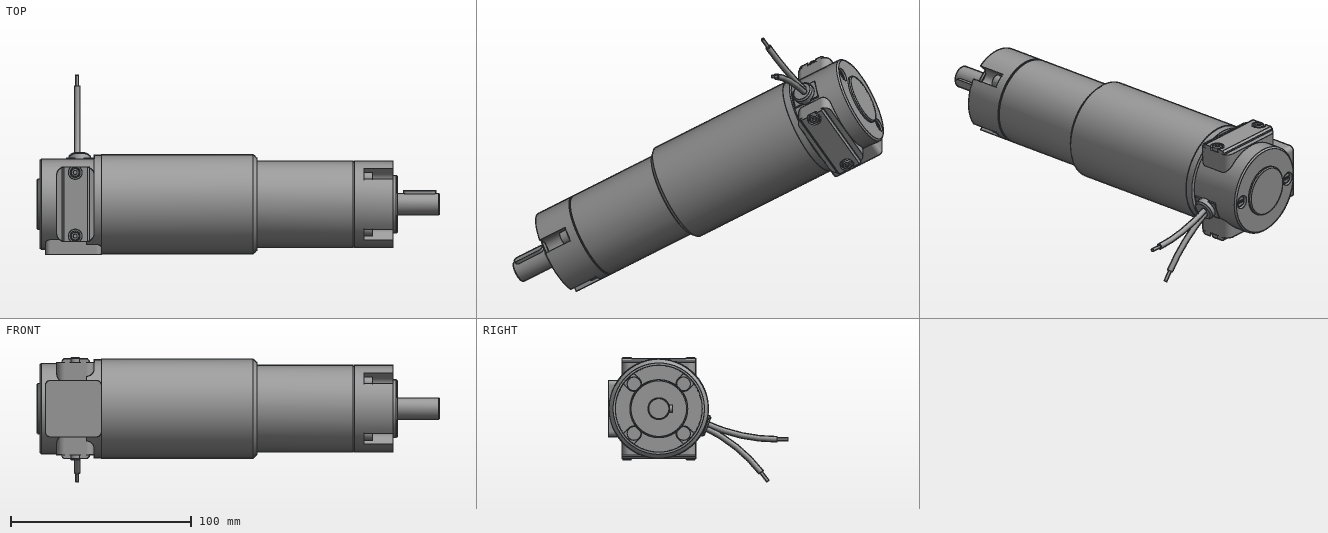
import cadquery as cq


CAP_FACE_X = 1.5
HOUSING_X = 31.5
LIP_END_X = 35.5
HOUSING_END_X = 121.7
GROOVE_X = 175.0
GEARBOX_END_X = 197.0
PILOT_END_X = 199.1
SHAFT_END_X = 222.5

REAR_DISC_DIA = 28.0
END_CAP_DIA = 50.0
LIP_DIA = 54.3
HOUSING_DIA = 55.0
GEARBOX_DIA = 48.0
PILOT_DIA = 32.0
SHAFT_DIA = 12.0

REAR_DISC_CHAMFER = 0.7
END_CAP_CHAMFER = 1.0
HOUSING_CHAMFER = 2.2
PILOT_CHAMFER = 0.7
SHAFT_CHAMFER = 0.5
GROOVE_WIDTH = 0.7
GROOVE_DEPTH = 0.5

REAR_SCREW_Y = 19.4
REAR_RECESS_DEPTH = 2.2
REAR_HEAD_HEIGHT = 1.3
DRIVER_SLOT_WIDTH = 1.1
DRIVER_SLOT_DEPTH = 0.7
RECESS_DIA = 7.5
SCREW_HEAD_DIA = 5.5

BLOCK_X = 11.0
BLOCK_LENGTH = HOUSING_X - BLOCK_X
BLOCK_WIDTH = 41.0
BLOCK_HEIGHT = 51.2
BLOCK_FILLET = 4.2
PLATE_X = 13.8
PLATE_LENGTH = 15.1
PLATE_TOP_Z = 27.5
PLATE_CHAMFER = 1.1
PLATE_SCREW_X = 21.1
PLATE_SCREW_Y = 17.5
PLATE_SCREW_TOP_Z = 28.3
PLATE_SCREW_TOP_DIA = 4.2
SOCKET_DIA = 2.2
SOCKET_DEPTH = 1.3

BOX_X = 4.7
BOX_LENGTH = LIP_END_X - BOX_X
BOX_HEIGHT = 31.2
BOX_FACE_Y = -27.8
BOX_FILLET = 2.7
SADDLE_X = 27.4

GROMMET_X = 23.5
GROMMET_DIA = 12.0
GROMMET_CHAMFER = 1.0
GROMMET_TOP_RADIUS = 28.7
GROMMET_PAD_LENGTH = 14.7
GROMMET_PAD_WIDTH = 11.0
GROMMET_PAD_RADIUS = 25.4
GROMMET_TILT = 20.0
WIRE_X = 22.2
WIRE_DIA = 3.1
CORE_DIA = 1.7
WIRES = [
    ((25.8, -8.0), (65.5, -17.0), (71.5, -17.0)),
    ((25.8, -10.7), (56.5, -35.2), (60.3, -40.0)),
]

POCKET_COUNT = 4
POCKET_X = 180.7
POCKET_RADIUS = 19.4
POCKET_WIDTH = 8.2
MOUNT_HEAD_DIA = 7.5
MOUNT_HEAD_END_X = 185.3

KEY_X = 202.5
KEY_LENGTH = 18.0
KEY_WIDTH = 4.0
KEY_TOP_Y = 7.5


def cylinder_x(diameter, start_x, end_x, y=0.0, z=0.0):
    """Cylinder parallel to the shaft axis."""
    plane = cq.Workplane("YZ", origin=(start_x, y, z))
    return plane.circle(diameter / 2).extrude(end_x - start_x)


def make_turned_body():
    """Stack of round sections from the rear disc to the output shaft."""
    rear_disc = cylinder_x(REAR_DISC_DIA, 0, CAP_FACE_X).faces("<X").chamfer(REAR_DISC_CHAMFER)
    end_cap = cylinder_x(END_CAP_DIA, CAP_FACE_X, HOUSING_X).faces("<X").chamfer(END_CAP_CHAMFER)
    lip = cylinder_x(LIP_DIA, HOUSING_X, LIP_END_X)
    housing = cylinder_x(HOUSING_DIA, LIP_END_X, HOUSING_END_X).faces(">X").chamfer(HOUSING_CHAMFER)
    groove = cylinder_x(GEARBOX_DIA, GROOVE_X - GROOVE_WIDTH / 2, GROOVE_X + GROOVE_WIDTH / 2)
    groove = groove.cut(cylinder_x(GEARBOX_DIA - 2 * GROOVE_DEPTH, HOUSING_END_X, GEARBOX_END_X))
    gearbox = cylinder_x(GEARBOX_DIA, HOUSING_END_X, GEARBOX_END_X).cut(groove)
    pilot = cylinder_x(PILOT_DIA, GEARBOX_END_X, PILOT_END_X).faces(">X").chamfer(PILOT_CHAMFER)
    shaft = cylinder_x(SHAFT_DIA, PILOT_END_X, SHAFT_END_X).faces(">X").chamfer(SHAFT_CHAMFER)
    motor = rear_disc.union(end_cap).union(lip).union(housing)
    return motor.union(gearbox).union(pilot).union(shaft)


def make_key():
    """Round-ended key standing on the +Y side of the shaft."""
    plane = cq.Workplane("XZ", origin=(KEY_X + KEY_LENGTH / 2, 0, 0))
    return plane.slot2D(KEY_LENGTH, KEY_WIDTH).extrude(-KEY_TOP_Y)


def add_mounting_pockets(body):
    """Cut open pockets into the flange rim and leave a screw head at the bottom of each."""
    pocket_length = GEARBOX_END_X - POCKET_X
    bore = cylinder_x(POCKET_WIDTH, POCKET_X, GEARBOX_END_X, z=POCKET_RADIUS)
    opening = cq.Workplane("XY", origin=(POCKET_X, 0, POCKET_RADIUS)).box(
        pocket_length, POCKET_WIDTH, GEARBOX_DIA / 2, centered=(False, True, False)
    )
    pocket = bore.union(opening)
    head = cylinder_x(MOUNT_HEAD_DIA, POCKET_X, MOUNT_HEAD_END_X, z=POCKET_RADIUS)
    step = 360 / POCKET_COUNT
    for index in range(POCKET_COUNT):
        angle = (index + 0.5) * step
        body = body.cut(pocket.rotate((0, 0, 0), (1, 0, 0), angle))
        body = body.union(head.rotate((0, 0, 0), (1, 0, 0), angle))
    return body


def add_rear_screws(body):
    """Slotted screws sunk into the end cap on both sides of the rear disc."""
    recess_floor_x = CAP_FACE_X + REAR_RECESS_DEPTH
    head_x = recess_floor_x - REAR_HEAD_HEIGHT
    for y in (-REAR_SCREW_Y, REAR_SCREW_Y):
        recess = cylinder_x(RECESS_DIA, CAP_FACE_X, recess_floor_x, y)
        head = cylinder_x(SCREW_HEAD_DIA, head_x, recess_floor_x, y)
        slot = cq.Workplane("XY", origin=(head_x, y, 0)).box(
            2 * DRIVER_SLOT_DEPTH, SCREW_HEAD_DIA, DRIVER_SLOT_WIDTH
        )
        body = body.cut(recess).union(head.cut(slot))
    return body


def make_brush_block():
    block = cq.Workplane("XY").box(BLOCK_LENGTH, BLOCK_WIDTH, BLOCK_HEIGHT)
    block = block.edges("|Z").fillet(BLOCK_FILLET)
    return block.translate((BLOCK_X + BLOCK_LENGTH / 2, 0, 0))


def make_clamp_plate():
    """Upper clamp plate with two chamfered socket screws in edge recesses."""
    block_top_z = BLOCK_HEIGHT / 2
    plate = cq.Workplane("XY", origin=(PLATE_X, 0, block_top_z)).box(
        PLATE_LENGTH, BLOCK_WIDTH, PLATE_TOP_Z - block_top_z, centered=(False, True, False)
    )
    plate = plate.faces(">Z").edges("|Y").chamfer(PLATE_CHAMFER)
    head_height = PLATE_SCREW_TOP_Z - block_top_z
    crown = (SCREW_HEAD_DIA - PLATE_SCREW_TOP_DIA) / 2
    for y in (-PLATE_SCREW_Y, PLATE_SCREW_Y):
        seat = cq.Workplane("XY", origin=(PLATE_SCREW_X, y, block_top_z))
        recess = seat.circle(RECESS_DIA / 2).extrude(head_height)
        head = seat.circle(SCREW_HEAD_DIA / 2).extrude(head_height).faces(">Z").chamfer(crown)
        head = head.faces(">Z").workplane().hole(SOCKET_DIA, SOCKET_DEPTH)
        plate = plate.cut(recess).union(head)
    return plate


def make_terminal_box():
    box = cq.Workplane("XZ", origin=(BOX_X + BOX_LENGTH / 2, 0, 0)).rect(BOX_LENGTH, BOX_HEIGHT)
    return box.extrude(-BOX_FACE_Y).edges("|Y").fillet(BOX_FILLET)


def make_saddle():
    """Piece of the lip cylinder carried back beside the brush holder block, behind the box."""
    inner_y = BLOCK_FILLET - BLOCK_WIDTH / 2
    side = cq.Workplane("XY").box(LIP_END_X, HOUSING_DIA, HOUSING_DIA, centered=(False, False, True))
    side = side.translate((0, inner_y - HOUSING_DIA, 0))
    return cylinder_x(LIP_DIA, SADDLE_X, HOUSING_X).intersect(side)


def make_grommet():
    """Chamfered grommet on a flat pad, tilted below the +Y direction."""
    plane = cq.Workplane("XZ", origin=(GROMMET_X, 0, 0))
    grommet = plane.circle(GROMMET_DIA / 2).extrude(-GROMMET_TOP_RADIUS)
    grommet = grommet.faces(">Y").chamfer(GROMMET_CHAMFER)
    pad = plane.rect(GROMMET_PAD_LENGTH, GROMMET_PAD_WIDTH).extrude(-GROMMET_PAD_RADIUS)
    return grommet.union(pad).rotate((0, 0, 0), (1, 0, 0), -GROMMET_TILT)


def make_wire(root, insulation_end, tip):
    """Insulated wire along an arc, followed by a straight bare core tangent to it."""
    root_point = cq.Vector(WIRE_X, *root)
    end_point = cq.Vector(WIRE_X, *insulation_end)
    core_vector = cq.Vector(WIRE_X, *tip) - end_point
    arc = cq.Edge.makeTangentArc(end_point, core_vector * -1, root_point)
    section = cq.Workplane(cq.Plane(end_point, xDir=(1, 0, 0), normal=core_vector))
    insulation = section.circle(WIRE_DIA / 2).sweep(cq.Workplane(cq.Wire.assembleEdges([arc])))
    core = section.circle(CORE_DIA / 2).extrude(core_vector.Length)
    return insulation.union(core)


clamp_plate = make_clamp_plate()

result = make_turned_body().union(make_brush_block()).union(make_terminal_box())
result = result.union(make_saddle())
result = add_rear_screws(result)
result = result.union(clamp_plate).union(clamp_plate.mirror("XY"))
result = add_mounting_pockets(result).union(make_key()).union(make_grommet())
for root, insulation_end, tip in WIRES:
    result = result.union(make_wire(root, insulation_end, tip))